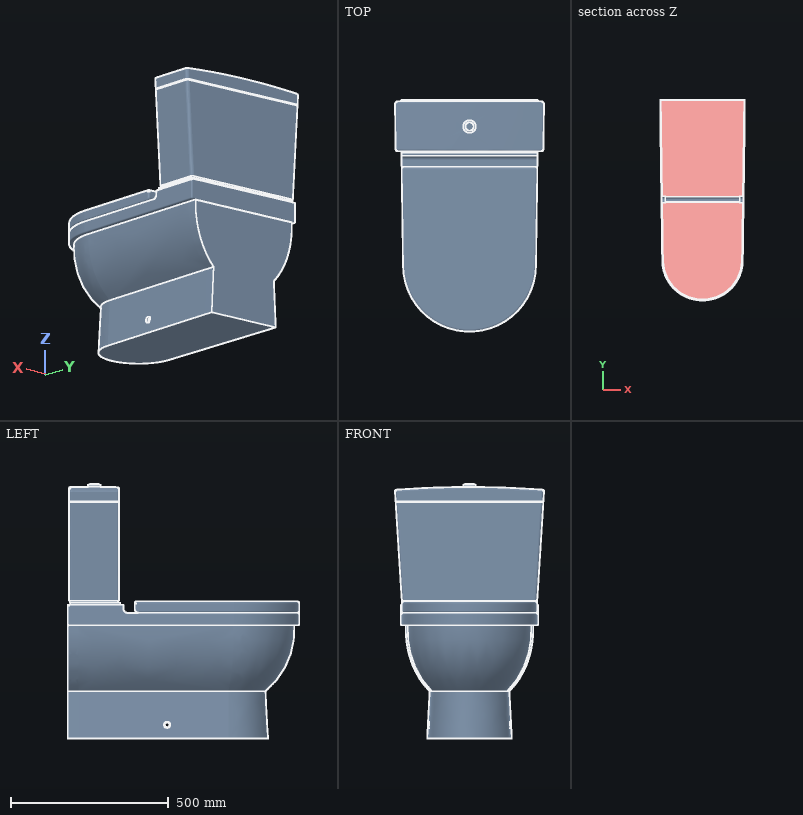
import cadquery as cq
import math


TOTAL_LENGTH = 734.23
TOTAL_HEIGHT = 807.36
SIDE_TAPER = math.radians(0.8)

RIM_NOSE_RADIUS = 211.0
RIM_BOTTOM_Z = 359.0
RIM_TOP_Z = 399.0
RIM_EDGE_FILLET = 5.0
SHELF_TOP_Z = 425.0
SHELF_DEPTH = 177.0
SHELF_LIP_FILLET = 4.0
SHELF_COVE_RADIUS = 13.0

PAD_TOP_Z = 431.0
PAD_BACK_Y = -8.0
PAD_FRONT_Y = -167.0
PAD_SIDE_MARGIN = 5.0

WALL_STRIP = 34.0
BELLY_TOP_INSET = 15.5
BELLY_ARC_RADIUS = 252.0
BELLY_ARC_CENTRE_Z = 345.0
BELLY_BOTTOM_Z = 151.0
BELLY_SECTIONS = 6
FOOT_NOSE_CENTRE_Y = -507.5
FOOT_TOP_RADIUS = 120.0
FOOT_FLOOR_RADIUS = 128.0
FIXING_HOLE_DIAMETER = 15.0
FIXING_COUNTERBORE_DIAMETER = 20.0
FIXING_COUNTERBORE_DEPTH = 10.0
FIXING_HOLE_Y = -315.0
FIXING_HOLE_Z = 44.0

SEAT_BACK_Y = -212.0
SEAT_TOP_Z = 436.0
SEAT_TOP_FILLET = 8.0
SEAT_BOTTOM_FILLET = 6.0
SEAT_HEEL_FILLET = 12.0

CISTERN_BACK_Y = -3.5
CISTERN_FRONT_Y = -163.0
CISTERN_WIDTH = 472.94
CISTERN_WIDEST_Z = 780.0
CISTERN_BOTTOM_Z = 437.0
CISTERN_BOTTOM_HALF_WIDTH = 215.0
CISTERN_BOTTOM_FILLET = 3.0
CISTERN_BACK_CORNER = 10.0
CISTERN_FRONT_CORNER = 7.5
CROWN_TOP_Z = 798.0
CROWN_RADIUS = 3100.0
CROWN_FILLET = 7.0
LID_SEAM_Z = 750.5
LID_SEAM_HEIGHT = 3.0
LID_SEAM_DEPTH = 1.0
NECK_INSET = 3.0

BUTTON_DIAMETER = 40.0
BUTTON_TOP_DIAMETER = 26.0
BUTTON_Y = -84.0
BUTTON_RIM_Z = 804.0
BUTTON_SEAT_Z = CROWN_TOP_Z - 3.0

RIM_NOSE_CENTRE_Y = RIM_NOSE_RADIUS - TOTAL_LENGTH


def side_x(nose_radius, nose_centre_y, y):
    """Half width at y of tapered sides that run tangent into a nose arc."""
    return (nose_radius + (y - nose_centre_y) * math.sin(SIDE_TAPER)) / math.cos(SIDE_TAPER)


def u_outline(z, nose_radius, nose_centre_y, back_y=0.0, parallel_strip=0.0):
    """Closed U outline: straight back, tapered sides, round nose; sides may start parallel."""
    taper_start_y = back_y - parallel_strip
    back_x = side_x(nose_radius, nose_centre_y, taper_start_y)
    tangent_x = nose_radius * math.cos(SIDE_TAPER)
    tangent_y = nose_centre_y - nose_radius * math.sin(SIDE_TAPER)
    outline = cq.Workplane("XY", origin=(0, 0, z)).moveTo(-back_x, back_y)
    if parallel_strip:
        outline = outline.lineTo(-back_x, taper_start_y)
    outline = outline.lineTo(-tangent_x, tangent_y)
    outline = outline.threePointArc((0, nose_centre_y - nose_radius), (tangent_x, tangent_y))
    outline = outline.lineTo(back_x, taper_start_y)
    if parallel_strip:
        outline = outline.lineTo(back_x, back_y)
    return outline.close()


def loft_outlines(outlines, ruled):
    wires = [outline.val() for outline in outlines]
    return cq.Workplane(cq.Solid.makeLoft(wires, ruled))


def make_foot():
    floor = u_outline(0, FOOT_FLOOR_RADIUS, FOOT_NOSE_CENTRE_Y, parallel_strip=WALL_STRIP)
    top = u_outline(BELLY_BOTTOM_Z, FOOT_TOP_RADIUS, FOOT_NOSE_CENTRE_Y, parallel_strip=WALL_STRIP)
    return loft_outlines([floor, top], True)


def belly_arc_inset(z):
    """How far the belly arc has drawn in at height z."""
    return BELLY_ARC_RADIUS - math.sqrt(BELLY_ARC_RADIUS**2 - (z - BELLY_ARC_CENTRE_Z) ** 2)


def make_belly():
    """Rounded underside that draws in from the rim down to the top of the foot."""
    top_radius = RIM_NOSE_RADIUS - BELLY_TOP_INSET
    outlines = []
    for i in range(BELLY_SECTIONS):
        z = BELLY_BOTTOM_Z + (RIM_BOTTOM_Z - BELLY_BOTTOM_Z) * i / (BELLY_SECTIONS - 1)
        drawn_in = belly_arc_inset(z) / belly_arc_inset(BELLY_BOTTOM_Z)
        radius = top_radius + (FOOT_TOP_RADIUS - top_radius) * drawn_in
        centre_y = RIM_NOSE_CENTRE_Y + (FOOT_NOSE_CENTRE_Y - RIM_NOSE_CENTRE_Y) * drawn_in
        outlines.append(u_outline(z, radius, centre_y, parallel_strip=WALL_STRIP))
    return loft_outlines(outlines, False)


def make_rim():
    """Rim band with the raised shelf behind it, its outer edges rounded."""
    rim = u_outline(RIM_BOTTOM_Z, RIM_NOSE_RADIUS, RIM_NOSE_CENTRE_Y).extrude(SHELF_TOP_Z - RIM_BOTTOM_Z)
    cove_end_y = -SHELF_DEPTH - SHELF_COVE_RADIUS
    cove_start_z = RIM_TOP_Z + SHELF_COVE_RADIUS
    lip_start_z = SHELF_TOP_Z - SHELF_LIP_FILLET
    above_rim = (
        cq.Workplane("YZ")
        .moveTo(-TOTAL_LENGTH - RIM_EDGE_FILLET, RIM_TOP_Z)
        .lineTo(cove_end_y, RIM_TOP_Z)
        .radiusArc((-SHELF_DEPTH, cove_start_z), -SHELF_COVE_RADIUS)
        .lineTo(-SHELF_DEPTH, lip_start_z)
        .radiusArc((-SHELF_DEPTH + SHELF_LIP_FILLET, SHELF_TOP_Z), SHELF_LIP_FILLET)
        .lineTo(-TOTAL_LENGTH - RIM_EDGE_FILLET, SHELF_TOP_Z)
        .close()
        .extrude(RIM_NOSE_RADIUS * 2, both=True)
    )
    rim = rim.cut(above_rim)
    rim = rim.faces("<Z").edges("not |X").fillet(RIM_EDGE_FILLET)
    upper_part = cq.selectors.BoxSelector(
        (-TOTAL_LENGTH, -TOTAL_LENGTH, RIM_TOP_Z - RIM_EDGE_FILLET),
        (TOTAL_LENGTH, TOTAL_LENGTH, SHELF_TOP_Z + RIM_EDGE_FILLET),
    )
    return rim.edges("not |X").edges(upper_part).fillet(RIM_EDGE_FILLET)


def make_cistern_pad():
    """Low pad on the shelf that carries the cistern."""
    back_x = side_x(RIM_NOSE_RADIUS, RIM_NOSE_CENTRE_Y, PAD_BACK_Y) - PAD_SIDE_MARGIN
    front_x = side_x(RIM_NOSE_RADIUS, RIM_NOSE_CENTRE_Y, PAD_FRONT_Y) - PAD_SIDE_MARGIN
    corners = [(-back_x, PAD_BACK_Y), (-front_x, PAD_FRONT_Y), (front_x, PAD_FRONT_Y), (back_x, PAD_BACK_Y)]
    pad = cq.Workplane("XY", origin=(0, 0, SHELF_TOP_Z)).polyline(corners).close()
    return pad.extrude(PAD_TOP_Z - SHELF_TOP_Z)


def cut_fixing_hole(bowl):
    """Cross hole through the foot, counterbored on both sides."""
    reach = FOOT_FLOOR_RADIUS * 2
    axis = cq.Workplane("YZ", origin=(0, FIXING_HOLE_Y, FIXING_HOLE_Z))
    bowl = bowl.cut(axis.circle(FIXING_HOLE_DIAMETER / 2).extrude(reach, both=True))
    foot_radius = FOOT_FLOOR_RADIUS + (FOOT_TOP_RADIUS - FOOT_FLOOR_RADIUS) * FIXING_HOLE_Z / BELLY_BOTTOM_Z
    bore_start_x = side_x(foot_radius, FOOT_NOSE_CENTRE_Y, FIXING_HOLE_Y) - FIXING_COUNTERBORE_DEPTH
    for direction in (-1, 1):
        bore = axis.workplane(offset=direction * bore_start_x).circle(FIXING_COUNTERBORE_DIAMETER / 2)
        bowl = bowl.cut(bore.extrude(direction * reach))
    return bowl


def make_bowl():
    bowl = make_foot().union(make_belly()).union(make_rim()).union(make_cistern_pad())
    return cut_fixing_hole(bowl)


def make_seat_cover():
    outline = u_outline(RIM_TOP_Z, RIM_NOSE_RADIUS, RIM_NOSE_CENTRE_Y, back_y=SEAT_BACK_Y)
    cover = outline.extrude(SEAT_TOP_Z - RIM_TOP_Z)
    cover = cover.edges("<Z and >Y").fillet(SEAT_HEEL_FILLET)
    cover = cover.faces(">Z").edges().fillet(SEAT_TOP_FILLET)
    return cover.faces("<Z").edges("not |X").fillet(SEAT_BOTTOM_FILLET)


def cistern_half_width(y, z):
    """Half width of the cistern, which widens upward and narrows toward the front."""
    rise = (z - CISTERN_BOTTOM_Z) / (CISTERN_WIDEST_Z - CISTERN_BOTTOM_Z)
    back = CISTERN_BOTTOM_HALF_WIDTH + (CISTERN_WIDTH / 2 - CISTERN_BOTTOM_HALF_WIDTH) * rise
    return back - (CISTERN_BACK_Y - y) * math.tan(SIDE_TAPER)


def cistern_outline(z, inset=0.0):
    """Four-sided cistern outline at height z, drawn in by inset."""
    back_y = CISTERN_BACK_Y - inset
    front_y = CISTERN_FRONT_Y + inset
    back_x = cistern_half_width(back_y, z) - inset
    front_x = cistern_half_width(front_y, z) - inset
    corners = [(-back_x, back_y), (-front_x, front_y), (front_x, front_y), (back_x, back_y)]
    return cq.Workplane("XY", origin=(0, 0, z)).polyline(corners).close()


def cistern_prism(bottom_z, top_z, inset=0.0):
    """Flaring block with rounded upright corners."""
    block = loft_outlines([cistern_outline(bottom_z, inset), cistern_outline(top_z, inset)], True)
    block = block.edges("not #Z").edges(">Y").fillet(CISTERN_BACK_CORNER - inset)
    return block.edges("not #Z").edges("<Y").fillet(CISTERN_FRONT_CORNER - inset)


def make_cistern():
    """Tank and lid in one ceramic piece, with a seam groove between them."""
    cistern = cistern_prism(CISTERN_BOTTOM_Z, CROWN_TOP_Z)
    crown = (
        cq.Workplane("XZ", origin=(0, 0, CROWN_TOP_Z - CROWN_RADIUS))
        .circle(CROWN_RADIUS)
        .extrude(TOTAL_LENGTH, both=True)
    )
    cistern = cistern.intersect(crown)
    cistern = cistern.faces(">Z").edges().fillet(CROWN_FILLET)
    cistern = cistern.faces("<Z").edges().fillet(CISTERN_BOTTOM_FILLET)

    seam_slab = cq.Workplane("XY", origin=(0, CISTERN_FRONT_Y / 2, LID_SEAM_Z)).box(
        CISTERN_WIDTH * 2, CISTERN_WIDTH, LID_SEAM_HEIGHT
    )
    seam_core = cistern_prism(CISTERN_BOTTOM_Z, CROWN_TOP_Z, LID_SEAM_DEPTH)
    cistern = cistern.cut(seam_slab.cut(seam_core))

    neck = cistern_prism(PAD_TOP_Z, CISTERN_BOTTOM_Z, NECK_INSET)
    button_recess = (
        cq.Workplane("XY", origin=(0, BUTTON_Y, BUTTON_SEAT_Z))
        .circle(BUTTON_DIAMETER / 2)
        .extrude(TOTAL_HEIGHT - BUTTON_SEAT_Z)
    )
    return cistern.union(neck).cut(button_recess)


def make_flush_button():
    profile = [
        (0, BUTTON_SEAT_Z),
        (BUTTON_DIAMETER / 2, BUTTON_SEAT_Z),
        (BUTTON_DIAMETER / 2, BUTTON_RIM_Z),
        (BUTTON_TOP_DIAMETER / 2, TOTAL_HEIGHT),
        (0, TOTAL_HEIGHT),
    ]
    button = cq.Workplane("XZ").polyline(profile).close().revolve(360, (0, 0, 0), (0, 1, 0))
    return button.translate((0, BUTTON_Y, 0))


bowl = make_bowl()
seat_cover = make_seat_cover()
cistern = make_cistern()
flush_button = make_flush_button()

result = cq.Compound.makeCompound([bowl.val(), seat_cover.val(), cistern.val(), flush_button.val()])